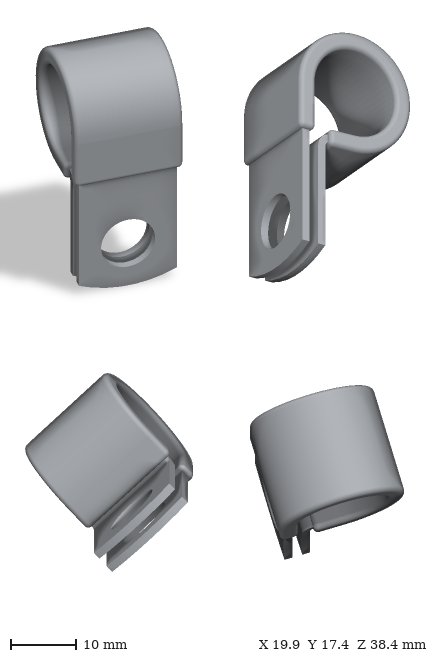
import cadquery as cq
import math

total_height = 38.42
outer_radius = 9.95
cushion_width = 17.45
cushion_wall = 0.75
strap_thickness = 1.25
right_leg_end_z = -8.0
lower_leg_end_x = 4.6

bend_inner_radius = 1.0
near_tab_outer_x = 6.35
tab_tip_rise = 1.65
hole_diameter = 8.72
hole_z = -20.6

strap_width = cushion_width - 2 * cushion_wall
strap_outer_radius = outer_radius - cushion_wall
strap_inner_radius = strap_outer_radius - strap_thickness
inner_radius = strap_inner_radius - cushion_wall
tab_bottom_z = outer_radius - total_height


def extrude_centered(profile, width):
    """Extrude an XZ profile by the given width, centred on Y = 0."""
    return profile.extrude(width / 2, both=True)


def make_cushion():
    diagonal = math.sqrt(0.5)
    profile = (
        cq.Workplane("XZ")
        .moveTo(outer_radius, right_leg_end_z)
        .lineTo(outer_radius, 0)
        .threePointArc((-outer_radius * diagonal, outer_radius * diagonal), (0, -outer_radius))
        .lineTo(lower_leg_end_x, -outer_radius)
        .lineTo(lower_leg_end_x, -inner_radius)
        .lineTo(0, -inner_radius)
        .threePointArc((-inner_radius * diagonal, inner_radius * diagonal), (inner_radius, 0))
        .lineTo(inner_radius, right_leg_end_z)
        .close()
    )
    body = extrude_centered(profile, cushion_width)
    wall_middle = (inner_radius + outer_radius) / 2
    right_end_center = (wall_middle, 0, right_leg_end_z)
    lower_end_center = (lower_leg_end_x, 0, -wall_middle)
    rounded_edges = body.faces(">Y or <Y").edges()
    for end_center in (right_end_center, lower_end_center):
        end_face = body.faces(cq.selectors.NearestToPointSelector(end_center))
        rounded_edges = rounded_edges.add(end_face.edges())
    return rounded_edges.fillet(cushion_wall)


def make_right_tab():
    tab_center_x = (strap_inner_radius + strap_outer_radius) / 2
    return cq.Workplane("XY").box(
        strap_thickness, strap_width, -tab_bottom_z, centered=(True, True, False)
    ).translate((tab_center_x, 0, tab_bottom_z))


def make_bent_tab():
    bend_outer_radius = bend_inner_radius + strap_thickness
    bend_center_x = near_tab_outer_x - bend_outer_radius
    bend_center_z = -strap_inner_radius - bend_outer_radius
    near_tab_inner_x = near_tab_outer_x - strap_thickness
    profile = (
        cq.Workplane("XZ")
        .moveTo(0, -strap_inner_radius)
        .lineTo(bend_center_x, -strap_inner_radius)
        .radiusArc((near_tab_outer_x, bend_center_z), bend_outer_radius)
        .lineTo(near_tab_outer_x, tab_bottom_z)
        .lineTo(near_tab_inner_x, tab_bottom_z)
        .lineTo(near_tab_inner_x, bend_center_z)
        .radiusArc((bend_center_x, -strap_outer_radius), -bend_inner_radius)
        .lineTo(0, -strap_outer_radius)
        .close()
    )
    return extrude_centered(profile, strap_width)


def make_tab_outline():
    """Solid along X whose lower edge is the shared curved tip of both tabs."""
    half_width = strap_width / 2
    corner_z = tab_bottom_z + tab_tip_rise
    return (
        cq.Workplane("YZ")
        .moveTo(-half_width, 0)
        .lineTo(-half_width, corner_z)
        .threePointArc((0, tab_bottom_z), (half_width, corner_z))
        .lineTo(half_width, 0)
        .close()
        .extrude(outer_radius)
    )


tabs = make_bent_tab().union(make_right_tab()).intersect(make_tab_outline())
bolt_hole = (
    cq.Workplane("YZ").center(0, hole_z).circle(hole_diameter / 2).extrude(outer_radius)
)
result = make_cushion().union(tabs.cut(bolt_hole))